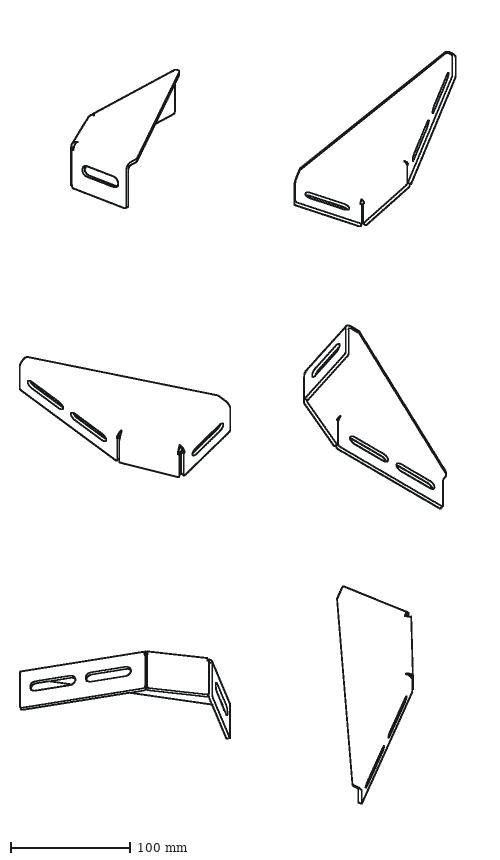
import cadquery as cq
import math

width = 85.0
depth = 160.0
height = 42.0

thickness = 3.0
bend_radius = 5.8
inner_radius = bend_radius - thickness
wall_height = height - bend_radius

slant_angle = math.radians(24.7)
front_fold_end = 26.9
slant_rise = (front_fold_end - bend_radius) / math.tan(slant_angle)
right_edge_depth = 13.8
tip_width = 8.3
tip_radius = 3.0

wall_corner_radius = 2.0
relief_lap = 1.5
side_lap = 0.6
side_relief = 0.5

slot_length = 39.2
slot_width = 10.0
slot_end_offset = 28.5
slot_spacing = 48.0

front_corner = (front_fold_end, bend_radius)
side_corner = (bend_radius, bend_radius + slant_rise)


def make_plate():
    """Flat top plate, bounded by the three fold lines and the long sloping edge."""
    plate = (
        cq.Workplane("XY", origin=(0, 0, height - thickness))
        .moveTo(*front_corner)
        .lineTo(width, bend_radius)
        .lineTo(width, right_edge_depth)
        .lineTo(tip_width, depth)
        .lineTo(bend_radius, depth)
        .lineTo(*side_corner)
        .close()
        .extrude(thickness)
    )
    tip = cq.selectors.NearestToPointSelector((tip_width, depth, height - thickness / 2))
    return plate.edges("|Z").edges(tip).fillet(tip_radius)


def make_flange(start, end, bend_laps=(0, 0), wall_laps=(0, 0), slot_centers=()):
    """Bend and wall along a fold line, with the outside on the left of its direction.

    Each pair of laps extends the bend or the wall past the start and end of the fold;
    a negative lap shortens it.
    Slot centers are distances along the fold from its start.
    """
    run = cq.Vector(end[0] - start[0], end[1] - start[1], 0)
    length = run.Length
    along = run.normalized()
    outward = cq.Vector(0, 0, 1).cross(along)
    origin = cq.Vector(start[0], start[1], 0)

    def section_plane(lap):
        return cq.Plane(origin=origin - along * lap, xDir=outward, normal=along)

    diagonal = math.sqrt(0.5)
    bend = (
        cq.Workplane(section_plane(bend_laps[0]))
        .moveTo(0, height)
        .threePointArc(
            (bend_radius * diagonal, wall_height + bend_radius * diagonal),
            (bend_radius, wall_height),
        )
        .lineTo(inner_radius, wall_height)
        .threePointArc(
            (inner_radius * diagonal, wall_height + inner_radius * diagonal),
            (0, height - thickness),
        )
        .close()
        .extrude(length + sum(bend_laps))
    )
    wall_plane = cq.Plane(
        origin=origin + outward * inner_radius, xDir=along * -1, normal=outward
    )
    wall_length = length + sum(wall_laps)
    wall = (
        cq.Workplane(wall_plane)
        .center(wall_laps[0] - wall_length / 2, wall_height / 2)
        .rect(wall_length, wall_height)
        .extrude(thickness)
        .edges(cq.selectors.ParallelDirSelector(outward))
        .edges("<Z")
        .fillet(wall_corner_radius)
    )
    if slot_centers:
        slots = (
            cq.Workplane(wall_plane)
            .pushPoints([(-distance, height / 2) for distance in slot_centers])
            .slot2D(slot_length, slot_width)
            .extrude(thickness)
        )
        wall = wall.cut(slots)
    return bend.union(wall)


front_flange = make_flange(
    (width, bend_radius),
    front_corner,
    wall_laps=(0, relief_lap),
    slot_centers=[slot_end_offset],
)
slanted_flange = make_flange(
    front_corner,
    side_corner,
    bend_laps=(0, side_lap - side_relief),
    wall_laps=(relief_lap, side_lap),
)
side_length = depth - side_corner[1]
last_side_slot = side_length - slot_end_offset
side_flange = make_flange(
    side_corner,
    (bend_radius, depth),
    bend_laps=(-side_relief, 0),
    slot_centers=[last_side_slot - slot_spacing, last_side_slot],
)

result = make_plate().union(front_flange).union(slanted_flange).union(side_flange)